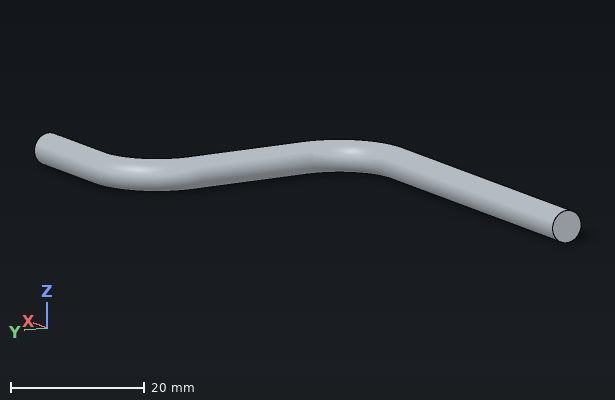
import cadquery as cq

overall_length = 85.0
overall_width = 45.0
rod_diameter = 5.0

long_leg = 50.0
bend_radius = 10.0
leg_offset = overall_width - rod_diameter
cross_leg = leg_offset - 2 * bend_radius
short_leg = overall_length - long_leg - 2 * bend_radius

centreline = (
    cq.Workplane("XY")
    .lineTo(long_leg, 0)
    .radiusArc((long_leg + bend_radius, bend_radius), -bend_radius)
    .line(0, cross_leg)
    .radiusArc((long_leg + 2 * bend_radius, leg_offset), bend_radius)
    .line(short_leg, 0)
)

result = cq.Workplane("YZ").circle(rod_diameter / 2).sweep(centreline)